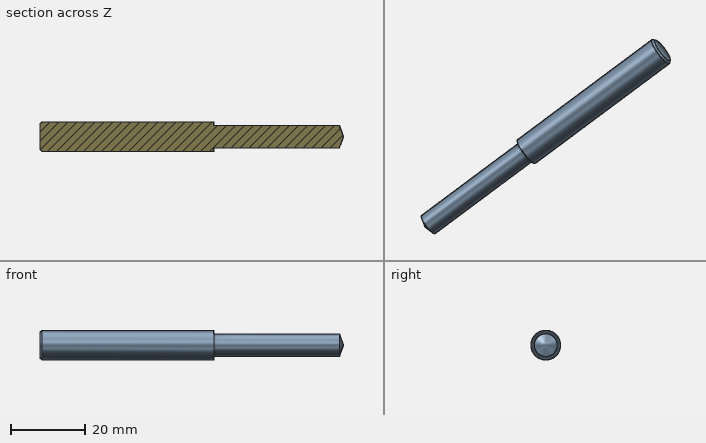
import cadquery as cq
import math

total_length = 82.0
shank_diameter = 8.0
shank_length = 47.0
shank_chamfer = 0.6
drill_diameter = 6.15
point_angle = 140.0

shank_radius = shank_diameter / 2
drill_radius = drill_diameter / 2
point_length = drill_radius / math.tan(math.radians(point_angle / 2))

back_x = -total_length / 2
tip_x = total_length / 2
step_x = back_x + shank_length

half_outline = (
    cq.Workplane("XY")
    .moveTo(back_x, 0)
    .lineTo(back_x, shank_radius - shank_chamfer)
    .lineTo(back_x + shank_chamfer, shank_radius)
    .lineTo(step_x, shank_radius)
    .lineTo(step_x, drill_radius)
    .lineTo(tip_x - point_length, drill_radius)
    .lineTo(tip_x, 0)
    .close()
)

result = half_outline.revolve(360, (0, 0, 0), (1, 0, 0))